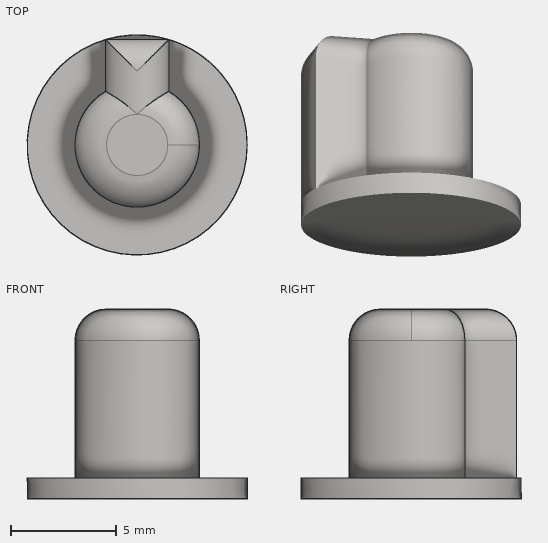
import cadquery as cq
import math

post_radius = 2.95
total_height = 9.0
edge_radius = 1.5
top_face_radius = post_radius - edge_radius

fin_half_width = edge_radius
fin_tip_y = 5.0
fin_start_y = top_face_radius
shoulder_z = total_height - edge_radius

flange_thickness = 1.0
flange_radius = math.hypot(fin_half_width, fin_tip_y)


def make_flange():
    return cq.Workplane("XY").circle(flange_radius).extrude(flange_thickness)


def make_post():
    post = cq.Workplane("XY").circle(post_radius).extrude(total_height)
    return post.faces(">Z").edges().fillet(edge_radius)


def make_fin():
    """Fin with a half-round top and a rounded end, meeting along mitre lines."""
    cross_section = (
        cq.Workplane("XZ", origin=(0, fin_start_y, 0))
        .moveTo(-fin_half_width, 0)
        .lineTo(fin_half_width, 0)
        .lineTo(fin_half_width, shoulder_z)
        .threePointArc((0, total_height), (-fin_half_width, shoulder_z))
        .close()
        .extrude(-(fin_tip_y - fin_start_y))
    )
    arc_offset = edge_radius * math.sqrt(0.5)
    arc_center_y = fin_tip_y - edge_radius
    side_profile = (
        cq.Workplane("YZ")
        .moveTo(fin_start_y, 0)
        .lineTo(fin_tip_y, 0)
        .lineTo(fin_tip_y, shoulder_z)
        .threePointArc(
            (arc_center_y + arc_offset, shoulder_z + arc_offset),
            (arc_center_y, total_height),
        )
        .lineTo(fin_start_y, total_height)
        .close()
        .extrude(fin_half_width, both=True)
    )
    return cross_section.intersect(side_profile)


result = make_flange().union(make_post()).union(make_fin())